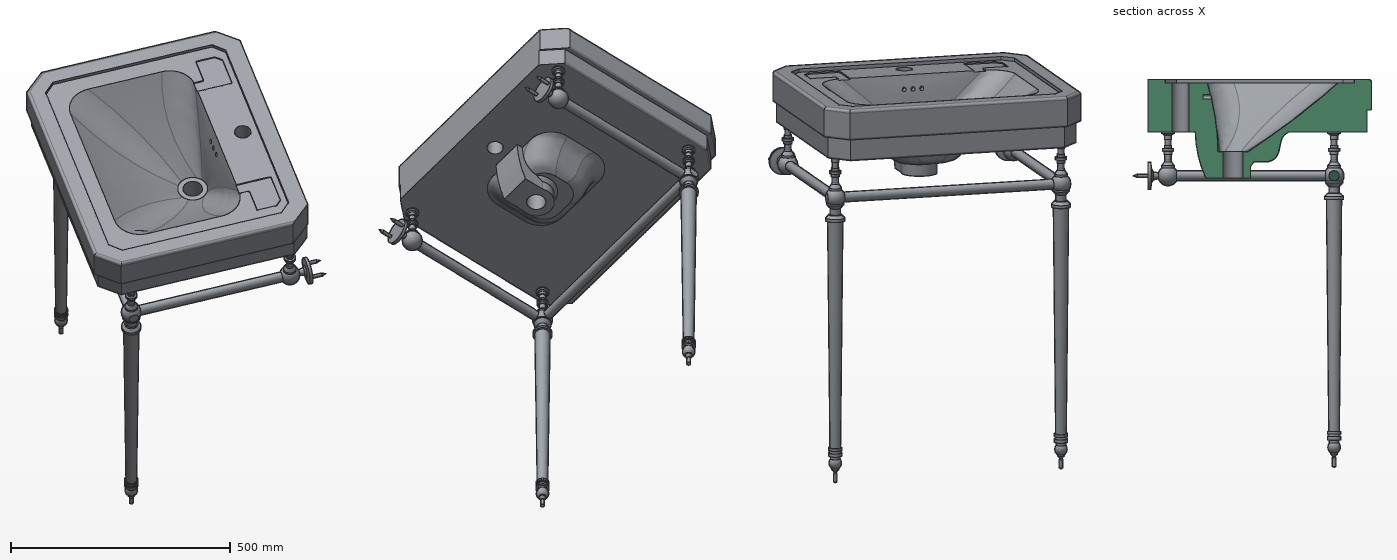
import cadquery as cq
import math


BASIN_WIDTH = 610.48
BASIN_DEPTH = 510.0
BASIN_TOP = 884.95
CORNER_X = 46.5
CORNER_Y = 50.0
UPPER_HEIGHT = 70.0
SLAB_HEIGHT = 120.5
LOWER_INSET = 10.0
TOP_ROUND = 7.0
UNDER_ROUND = 3.0
STEP_Z = BASIN_TOP - UPPER_HEIGHT
SLAB_BOTTOM = BASIN_TOP - SLAB_HEIGHT

RIM_SIDE = 40.0
DECK_DEPTH = 8.0
DECK_CORNER = 25.0
DECK_Z = BASIN_TOP - DECK_DEPTH
TRAY_DEPTH = 3.0
TRAY_INNER_X = 147.5
TRAY_OUTER_X = 235.0
TRAY_NECK_X = 174.5
TRAY_BACK_Y = -53.5
TRAY_FRONT_Y = -113.0
TRAY_CORNER = 14.0
TRAY_ROUND = 4.0
TAP_Y = -74.5
TAP_DIAMETER = 37.0

BOWL_WIDTH = 456.0
BOWL_BACK_Y = -136.0
BOWL_FRONT_Y = -433.0
BOWL_CORNER = 60.0
WAIST_Z = SLAB_BOTTOM
WAIST_WIDTH = 184.0
WAIST_BACK_Y = -158.0
WAIST_FRONT_Y = -292.0
WAIST_CORNER = 42.0
DRAIN_Y = -194.0
DRAIN_Z = 720.0
DRAIN_DIAMETER = 44.0
DRAIN_LEDGE_DIAMETER = 68.0
LEDGE_SIDE_ANGLE = 33.0
OVERFLOW_Z = 845.0
OVERFLOW_DIAMETER = 9.0
OVERFLOW_SPACING = 21.0
OVERFLOW_END_Y = BOWL_BACK_Y + 10

BOWL_OUTSIDE = [
    (SLAB_BOTTOM, 258.0, -123.0, -322.0, 60.0),
    (750.0, 218.0, -124.0, -306.0, 60.0),
    (721.0, 178.0, -131.0, -299.0, 55.0),
    (697.0, 127.0, -156.0, -275.0, 45.0),
]
BOWL_BOTTOM = BOWL_OUTSIDE[-1][0]
OUTLET_RADIUS = 41.0
OUTLET_FLARE_RADIUS = 49.0
OUTLET_FLARE_Z = 687.0
OUTLET_BOTTOM = 660.0

CHANNEL_WIDTH = 78.0
CHANNEL_TOP_Y = -108.0
CHANNEL_MIDDLE = (-116.0, 705.0)
CHANNEL_BOTTOM_Y = -132.0

POST_X = 268.4
LEG_Y = -424.5
REAR_Y = -46.0
RAIL_Z = 665.0
RAIL_RADIUS = 11.7
BALL_RADIUS = 23.0
BALL_FLAT = 20.0

SPINDLE = [
    (8.5, 697), (7.5, 701), (7.5, 714), (9.5, 714), (9.5, 720), (13, 721.5), (13, 727),
    (8.5, 728), (8.5, 734), (7, 734), (7, 748), (8.5, 748), (8.5, 757), (11, 760), (15, 762),
    (15, SLAB_BOTTOM),
]
SPINDLE_COLLAR = [(14.5, 683), (14.5, 688)]
CUP_TOP = (20, 653)
LEG_TURNING = [
    (20, 649), (12, 640), (12, 626), (15, 625), (22, 618), (22, 611), (17.8, 611),
    (12.5, 82.5), (15.3, 82.5), (15.3, 76.5), (14, 76.5), (14, 70.5), (15.3, 70.5), (15.3, 63),
    (11, 62), (11, 56),
]
FOOT_BALL_RADIUS = 14.5
FOOT_BALL_Z = 46.0
FOOT_BALL_BOTTOM = 34.0
FOOT_SCREW = [(8, 31), (2.5, 25), (4.5, 22), (4.5, 3), (0, 0)]

FLANGE_RADIUS = 31.0
FLANGE_THICKNESS = 7.0
FLANGE = [
    (0, 0), (FLANGE_RADIUS, 0), (FLANGE_RADIUS, -FLANGE_THICKNESS),
    (15, -FLANGE_THICKNESS - 2), (9.5, -13), (7, -24), (7, REAR_Y), (0, REAR_Y),
]
SCREW_OFFSET_X = 20.9
SCREW_RADIUS = 4.0
SCREW_LENGTH = 33.91
SCREW_POINT = 10.0


def octagon(bottom_z, height, half_width, back_y, front_y, corner_x, corner_y):
    """Prism on a rectangle with its four corners cut."""
    points = [
        (half_width - corner_x, back_y),
        (half_width, back_y - corner_y),
        (half_width, front_y + corner_y),
        (half_width - corner_x, front_y),
    ]
    mirrored = [(-x, y) for x, y in reversed(points)]
    return cq.Workplane("XY", origin=(0, 0, bottom_z)).polyline(points + mirrored).close().extrude(height)


def slab():
    """Two tiers with flat backs on the wall; the lower one is inset on the other sides and corners."""
    half_width = BASIN_WIDTH / 2
    off_wall = cq.selectors.BoxSelector(
        (-BASIN_WIDTH, -BASIN_DEPTH - 1, 0), (BASIN_WIDTH, -CORNER_Y, BASIN_TOP + 1)
    )
    upper = octagon(STEP_Z, UPPER_HEIGHT, half_width, 0, -BASIN_DEPTH, CORNER_X, CORNER_Y)
    upper = upper.faces(">Z").edges(off_wall).fillet(TOP_ROUND)
    upper = upper.faces("<Z").edges(off_wall).fillet(UNDER_ROUND)

    cut_length = math.hypot(CORNER_X, CORNER_Y)
    shorten_x = LOWER_INSET * (1 - (cut_length - CORNER_X) / CORNER_Y)
    shorten_y = LOWER_INSET * (1 - (cut_length - CORNER_Y) / CORNER_X)
    side_x = half_width - LOWER_INSET
    front_y = -BASIN_DEPTH + LOWER_INSET
    corner_x = CORNER_X - shorten_x
    corner_y = CORNER_Y - shorten_y
    lower = octagon(SLAB_BOTTOM, SLAB_HEIGHT - UPPER_HEIGHT, side_x, 0, front_y, corner_x, corner_y)
    lower = lower.faces("<Z").edges(off_wall).fillet(UNDER_ROUND)
    return upper.union(lower)


def rounded_section(z, width, back_y, front_y, corner):
    """Horizontal rounded rectangle, as a wire."""
    center = (0, (back_y + front_y) / 2, z)
    plate = cq.Workplane("XY", origin=center).rect(width, back_y - front_y).extrude(1)
    return plate.edges("|Z").fillet(corner).faces("<Z").wires().val()


def drain_ledge():
    """Circle in eight arcs, long ones facing the bowl sides and short ones facing its corners."""
    radius = DRAIN_LEDGE_DIAMETER / 2

    def point(angle):
        turn = math.radians(angle)
        return (radius * math.cos(turn), radius * math.sin(turn))

    ledge = cq.Workplane("XY", origin=(0, DRAIN_Y, DRAIN_Z)).moveTo(*point(-LEDGE_SIDE_ANGLE))
    for quarter in range(0, 360, 90):
        ledge = ledge.threePointArc(point(quarter), point(quarter + LEDGE_SIDE_ANGLE))
        ledge = ledge.threePointArc(point(quarter + 45), point(quarter + 90 - LEDGE_SIDE_ANGLE))
    return ledge.close().val()


def vertical_cylinder(y, radius, bottom_z, top_z):
    return cq.Workplane("XY", origin=(0, y, bottom_z)).circle(radius).extrude(top_z - bottom_z)


def bowl_cavity():
    """Loft from the mouth down to the drain ledge, each side and corner ending on its own ledge arc."""
    ledge = drain_ledge()
    mouth = rounded_section(DECK_Z, BOWL_WIDTH, BOWL_BACK_Y, BOWL_FRONT_Y, BOWL_CORNER)
    waist = rounded_section(WAIST_Z, WAIST_WIDTH, WAIST_BACK_Y, WAIST_FRONT_Y, WAIST_CORNER)
    return cq.Workplane(cq.Solid.makeLoft([mouth, waist, ledge], False))


def bowl_outside():
    sections = [rounded_section(*section) for section in BOWL_OUTSIDE]
    bowl = cq.Workplane(cq.Solid.makeLoft(sections, False))
    outlet = (
        cq.Workplane("XZ", origin=(0, DRAIN_Y, 0))
        .polyline([
            (0, OUTLET_BOTTOM),
            (OUTLET_RADIUS, OUTLET_BOTTOM),
            (OUTLET_RADIUS, OUTLET_FLARE_Z),
            (OUTLET_FLARE_RADIUS, BOWL_BOTTOM),
            (0, BOWL_BOTTOM),
        ])
        .close()
        .revolve(360, (0, 0), (0, 1))
    )
    channel = (
        cq.Workplane("YZ")
        .moveTo(DRAIN_Y, SLAB_BOTTOM)
        .lineTo(CHANNEL_TOP_Y, SLAB_BOTTOM)
        .threePointArc(CHANNEL_MIDDLE, (CHANNEL_BOTTOM_Y, OUTLET_BOTTOM))
        .lineTo(DRAIN_Y, OUTLET_BOTTOM)
        .close()
        .extrude(CHANNEL_WIDTH / 2, both=True)
    )
    return bowl.union(outlet).union(channel)


def soap_tray(side):
    """Shallow tray on one side (+1 or -1) with a channel that runs into the bowl."""
    outline = [
        (TRAY_INNER_X, TRAY_BACK_Y),
        (TRAY_OUTER_X - TRAY_CORNER, TRAY_BACK_Y),
        (TRAY_OUTER_X, TRAY_BACK_Y - TRAY_CORNER),
        (TRAY_OUTER_X, TRAY_FRONT_Y),
        (TRAY_NECK_X, TRAY_FRONT_Y),
        (TRAY_NECK_X, BOWL_BACK_Y - TRAY_ROUND),
        (TRAY_INNER_X, BOWL_BACK_Y - TRAY_ROUND),
    ]
    tray = (
        cq.Workplane("XY", origin=(0, 0, DECK_Z - TRAY_DEPTH))
        .polyline([(side * x, y) for x, y in outline])
        .close()
        .extrude(TRAY_DEPTH)
    )
    rounded = [(TRAY_INNER_X, TRAY_BACK_Y), (TRAY_NECK_X, TRAY_FRONT_Y)]
    for x, y in rounded:
        corner = cq.selectors.NearestToPointSelector((side * x, y, DECK_Z - TRAY_DEPTH / 2))
        tray = tray.edges("|Z").edges(corner).fillet(TRAY_ROUND)
    return tray


def make_basin():
    deck = octagon(
        DECK_Z, DECK_DEPTH, BASIN_WIDTH / 2 - RIM_SIDE, -RIM_SIDE, RIM_SIDE - BASIN_DEPTH,
        DECK_CORNER, DECK_CORNER,
    )
    overflow_holes = (
        cq.Workplane("XZ", origin=(0, OVERFLOW_END_Y, OVERFLOW_Z))
        .rarray(OVERFLOW_SPACING, 1, 3, 1)
        .circle(OVERFLOW_DIAMETER / 2)
        .extrude(OVERFLOW_END_Y - DRAIN_Y)
    )
    basin = slab().union(bowl_outside()).cut(deck).cut(bowl_cavity()).cut(overflow_holes)
    basin = basin.cut(vertical_cylinder(DRAIN_Y, DRAIN_DIAMETER / 2, OUTLET_BOTTOM, BASIN_TOP))
    basin = basin.cut(vertical_cylinder(TAP_Y, TAP_DIAMETER / 2, SLAB_BOTTOM, BASIN_TOP))
    for side in (-1, 1):
        basin = basin.cut(soap_tray(side))
    return basin


def post_profile(x, y):
    return cq.Workplane("XZ", origin=(x, y, 0))


def sphere(radius, x, y, z):
    return cq.Workplane("XY", origin=(x, y, z)).sphere(radius)


def spindle(x, y):
    """Turned spindle from the ball up to the underside of the basin."""
    profile = [(0, RAIL_Z), (SPINDLE_COLLAR[0][0], RAIL_Z), *SPINDLE_COLLAR, *SPINDLE, (0, SLAB_BOTTOM)]
    return post_profile(x, y).polyline(profile).close().revolve(360, (0, 0), (0, 1))


def make_leg(side):
    """Front leg: foot, tapered shaft, ball with flat rail seats, and spindle."""
    x = side * POST_X
    ball = sphere(BALL_RADIUS, x, LEG_Y, RAIL_Z)
    seats = cq.Workplane("XY", origin=(x, LEG_Y, RAIL_Z)).box(2 * BALL_FLAT, 2 * BALL_FLAT, 2 * BALL_RADIUS)
    front_half = seats.translate((0, -BALL_FLAT, 0))
    ball = ball.intersect(seats.union(front_half))

    foot_ball_end = math.sqrt(FOOT_BALL_RADIUS**2 - (FOOT_BALL_Z - FOOT_BALL_BOTTOM) ** 2)
    shaft = (
        post_profile(x, LEG_Y)
        .moveTo(0, RAIL_Z)
        .polyline([CUP_TOP, *LEG_TURNING], includeCurrent=True)
        .threePointArc((FOOT_BALL_RADIUS, FOOT_BALL_Z), (foot_ball_end, FOOT_BALL_BOTTOM))
        .polyline(FOOT_SCREW, includeCurrent=True)
        .close()
        .revolve(360, (0, 0), (0, 1))
    )
    return shaft.union(ball).union(spindle(x, LEG_Y))


def make_bracket(side):
    """Wall bracket: flange with two screws, ball, spindle and the side rail to the front leg."""
    x = side * POST_X
    flange = (
        cq.Workplane("XY", origin=(x, 0, RAIL_Z)).polyline(FLANGE).close().revolve(360, (0, 0), (0, 1))
    )
    rail = (
        cq.Workplane("XZ", origin=(x, REAR_Y, RAIL_Z))
        .circle(RAIL_RADIUS)
        .extrude(REAR_Y - LEG_Y - BALL_FLAT)
    )
    bracket = flange.union(rail).union(sphere(BALL_RADIUS, x, REAR_Y, RAIL_Z)).union(spindle(x, REAR_Y))
    screw_outline = [
        (0, 0), (SCREW_RADIUS, 0), (SCREW_RADIUS, SCREW_LENGTH - SCREW_POINT), (0, SCREW_LENGTH),
    ]
    for offset in (-SCREW_OFFSET_X, SCREW_OFFSET_X):
        screw = (
            cq.Workplane("XY", origin=(x + offset, 0, RAIL_Z))
            .polyline(screw_outline)
            .close()
            .revolve(360, (0, 0), (0, 1))
        )
        bracket = bracket.union(screw)
    return bracket


def make_front_rail():
    """Round rail between the flat seats of the two leg balls."""
    end_x = POST_X - BALL_FLAT
    return cq.Workplane("YZ", origin=(-end_x, LEG_Y, RAIL_Z)).circle(RAIL_RADIUS).extrude(2 * end_x)


basin = make_basin()
legs = [make_leg(side) for side in (-1, 1)]
brackets = [make_bracket(side) for side in (-1, 1)]
front_rail = make_front_rail()

result = cq.Compound.makeCompound([
    basin.val(),
    *[leg.val() for leg in legs],
    *[bracket.val() for bracket in brackets],
    front_rail.val(),
])